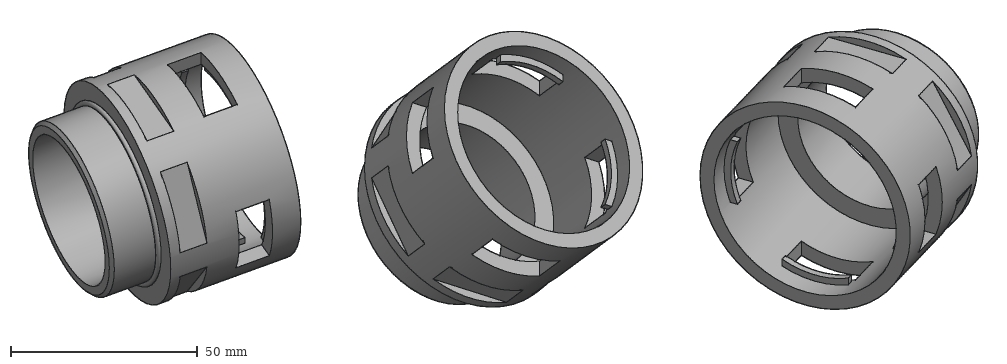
import cadquery as cq
import math

body_diameter = 63.5
body_length = 39.0
cavity_diameter = 55.0
cavity_depth = 37.0

spigot_diameter = 50.0
spigot_length = 14.5
spigot_chamfer = 1.0
bore_diameter = 43.0

ring_cord_diameter = 1.5
ring_embedment = 0.1

window_count = 4
window_width = 21.6
window_length = 10.0
window_from_open_end = 8.5

tooth_width = 20.0
tooth_height = 2.0
tooth_length = 2.0
tooth_setback = 0.7

flat_count = 6
across_flats = 59.0
flat_length = 8.0
flat_from_face = 3.0


def tube_cylinder(diameter, y_start, y_end):
    """Solid cylinder on the Y axis from y_start to y_end."""
    return (
        cq.Workplane("XZ", origin=(0, y_start, 0))
        .circle(diameter / 2)
        .extrude(y_start - y_end)
    )


def make_body():
    return tube_cylinder(body_diameter, 0, body_length)


def make_spigot():
    spigot = tube_cylinder(spigot_diameter, -spigot_length, 0)
    return spigot.faces("<Y").chamfer(spigot_chamfer)


def make_sealing_ring():
    """Torus around the spigot, overlapping the spigot wall and the body face."""
    cord_radius = ring_cord_diameter / 2
    center_radius = spigot_diameter / 2 + cord_radius - ring_embedment
    center_y = ring_embedment - cord_radius
    section = cq.Workplane("XY", origin=(center_radius, center_y, 0)).transformed(rotate=(0, 0, 180))
    section = section.circle(cord_radius)
    return section.revolve(360, (center_radius, 0, 0), (center_radius, 1, 0))


def make_windows():
    """Crossed bars, each cutting two opposite windows."""
    center_y = body_length - window_from_open_end - window_length / 2
    bar = cq.Workplane("XY").box(window_width, window_length, body_diameter)
    bar = bar.translate((0, center_y, 0))
    bars = bar
    for i in range(1, window_count // 2):
        bars = bars.union(bar.rotate((0, 0, 0), (0, 1, 0), i * 360 / window_count))
    return bars


def make_teeth():
    """Curved pads rooted in the body wall, one centered on each window."""
    mid_wall_diameter = (body_diameter + cavity_diameter) / 2
    y_start = body_length - window_from_open_end + tooth_setback
    y_end = y_start + tooth_length
    ring = tube_cylinder(mid_wall_diameter, y_start, y_end)
    ring = ring.cut(tube_cylinder(cavity_diameter - 2 * tooth_height, y_start, y_end))
    slab = cq.Workplane("XY", origin=(0, (y_start + y_end) / 2, 0)).box(
        tooth_width, tooth_length, body_diameter / 2, centered=(True, True, False)
    )
    tooth = ring.intersect(slab)
    return [tooth.rotate((0, 0, 0), (0, 1, 0), i * 360 / window_count) for i in range(window_count)]


def make_flat_cutter():
    """Ring of stock outside a hexagonal prism, which leaves one flat per side."""
    hexagon_corner_diameter = across_flats / math.cos(math.pi / flat_count)
    plane = cq.Workplane("XZ", origin=(0, flat_from_face, 0))
    stock = plane.circle(hexagon_corner_diameter / 2).extrude(-flat_length)
    hexagon = plane.polygon(flat_count, hexagon_corner_diameter).extrude(-flat_length)
    return stock.cut(hexagon)


result = make_body().union(make_spigot()).union(make_sealing_ring())
result = result.cut(tube_cylinder(bore_diameter, -spigot_length, body_length))
result = result.cut(tube_cylinder(cavity_diameter, body_length - cavity_depth, body_length))
result = result.cut(make_windows())
result = result.cut(make_flat_cutter())
for tooth in make_teeth():
    result = result.union(tooth)